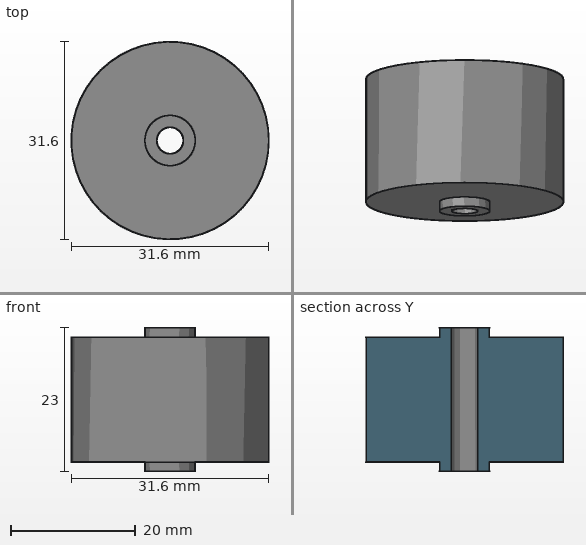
import cadquery as cq

body_diameter = 31.64
body_length = 20.0
hub_diameter = 8.05
hub_projection = 1.5
bore_diameter = 4.2

overall_length = body_length + 2 * hub_projection


def centred_cylinder(diameter, length):
    """Cylinder along Z, centred on the origin."""
    base = cq.Workplane("XY").workplane(offset=-length / 2)
    return base.circle(diameter / 2).extrude(length)


roller_body = centred_cylinder(body_diameter, body_length)
hub = centred_cylinder(hub_diameter, overall_length)

axle_bore = centred_cylinder(bore_diameter, overall_length)

result = roller_body.union(hub).cut(axle_bore)